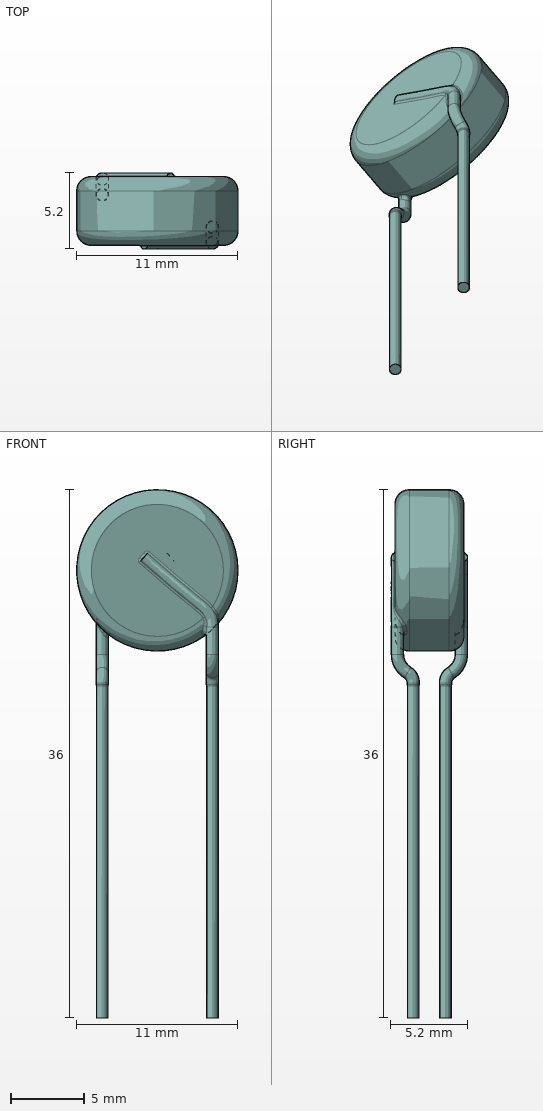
import cadquery as cq
import math

disc_diameter = 11.0
disc_thickness = 4.7
rim_radius = 1.0

overall_depth = 5.2
overall_height = 36.0
wire_diameter = 0.85
tail_diameter = 0.8
lead_spacing = 7.5
tail_spacing = 2.2

tip_x = -0.9
tip_z = 0.9
tip_angle = 41.0
slant_mid_x = 2.73
slant_mid_z = -2.17
slant_foot_z = -3.85
joint_fillet_radius = 0.2

offset_bend_z = -5.72
offset_bend_height = 1.94
upper_bend_share = 0.64
collar_height = 0.1
collar_taper_height = 0.1

wire_x = lead_spacing / 2
wire_y = -(overall_depth - wire_diameter) / 2
tail_y = -tail_spacing / 2
collar_top_z = offset_bend_z - offset_bend_height
collar_bottom_z = collar_top_z - collar_height
tail_top_z = collar_bottom_z - collar_taper_height
tail_end_z = disc_diameter / 2 - overall_height


def make_disc():
    disc = (
        cq.Workplane("XZ", origin=(0, disc_thickness / 2, 0))
        .circle(disc_diameter / 2)
        .extrude(disc_thickness)
    )
    return disc.faces("<Y or >Y").edges().fillet(rim_radius)


def make_slant_edge():
    """Centre line across the disc face, from the tip down to the vertical stretch."""
    angle = math.radians(tip_angle)
    return cq.Edge.makeSpline(
        [
            cq.Vector(tip_x, wire_y, tip_z),
            cq.Vector(slant_mid_x, wire_y, slant_mid_z),
            cq.Vector(wire_x, wire_y, slant_foot_z),
        ],
        tangents=[cq.Vector(math.cos(angle), 0, -math.sin(angle)), cq.Vector(0, 0, -1)],
    )


def make_offset_edges():
    """Two tangent arcs that turn by the same angle, out of the vertical and back into it."""
    offset = tail_y - wire_y
    turn = 2 * math.atan(offset / offset_bend_height)
    upper_radius = upper_bend_share * offset_bend_height / math.sin(turn)
    lower_radius = (1 - upper_bend_share) * offset_bend_height / math.sin(turn)

    def upper_point(angle):
        return cq.Vector(
            wire_x,
            wire_y + upper_radius * (1 - math.cos(angle)),
            offset_bend_z - upper_radius * math.sin(angle),
        )

    def lower_point(angle):
        return cq.Vector(
            wire_x,
            tail_y - lower_radius * (1 - math.cos(angle)),
            collar_top_z + lower_radius * math.sin(angle),
        )

    middle = upper_point(turn)
    return [
        cq.Edge.makeThreePointArc(upper_point(0), upper_point(turn / 2), middle),
        cq.Edge.makeThreePointArc(middle, lower_point(turn / 2), lower_point(0)),
    ]


def make_wire():
    """Thick wire from its tip on the disc face down to the foot of the collar."""
    straight = cq.Edge.makeLine(
        cq.Vector(wire_x, wire_y, slant_foot_z), cq.Vector(wire_x, wire_y, offset_bend_z)
    )
    collar = cq.Edge.makeLine(
        cq.Vector(wire_x, tail_y, collar_top_z), cq.Vector(wire_x, tail_y, collar_bottom_z)
    )
    path = cq.Wire.assembleEdges([make_slant_edge(), straight, *make_offset_edges(), collar])
    tip_plane = cq.Plane(path.startPoint(), (0, 1, 0), path.tangentAt(0))
    return cq.Workplane(tip_plane).circle(wire_diameter / 2).sweep(cq.Workplane(path))


def make_tail():
    """Straight tail with the short taper that leads into it from the collar."""
    taper = (
        cq.Workplane("XY", origin=(wire_x, tail_y, collar_bottom_z))
        .circle(wire_diameter / 2)
        .workplane(offset=-collar_taper_height)
        .circle(tail_diameter / 2)
        .loft()
    )
    tail = (
        cq.Workplane("XY", origin=(wire_x, tail_y, tail_top_z))
        .circle(tail_diameter / 2)
        .extrude(tail_end_z - tail_top_z)
    )
    return taper.union(tail)


def turned_to_back(solid):
    return solid.rotate((0, 0, 0), (0, 0, 1), 180)


def front_joint_box():
    """Selector for the edges where the front wire meets the disc, which all lie within its depth."""
    tolerance = 0.01
    return cq.selectors.BoxSelector(
        (tip_x - wire_diameter, -disc_thickness / 2 - tolerance, -disc_diameter / 2),
        (wire_x + wire_diameter / 2, 0, tip_z + wire_diameter),
        boundingbox=True,
    )


def blend_front_joint(body):
    return body.edges(front_joint_box()).fillet(joint_fillet_radius)


wire = make_wire()
tail = make_tail()
result = make_disc().union(wire).union(turned_to_back(wire))
for _ in ("back", "front"):
    result = blend_front_joint(turned_to_back(result))
result = result.union(tail).union(turned_to_back(tail))